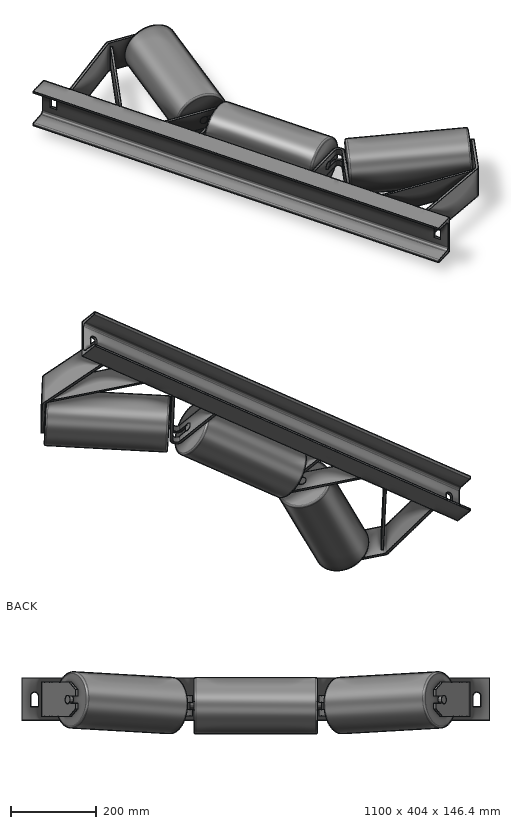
import cadquery as cq
import math


channel_length = 1100.0
channel_height = 100.0
flange_width = 51.0
web_thickness = 7.0
flange_tip_thickness = 7.0
flange_root_thickness = 10.0
root_radius = 8.0
toe_radius = 3.0

mount_spacing = 1041.0
mount_width = 18.0
mount_bottom_z = -18.0
mount_top_z = 16.0

roller_length = 290.0
roller_diameter = 133.0
roller_edge_radius = 4.0
roller_gap = 3.0
trough_angle = 35.0
shaft_diameter = 20.0
middle_axis_y = 115.0
side_center_x = 316.0
side_center_y = 217.0
inner_shaft_z = -15.0
outer_shaft_z = -1.0

plate_thickness = 7.0
outer_bracket_height = 80.0
inner_bracket_height = 47.0
bend_radius = 12.0
outer_foot_x = 482.0
outer_bend_y = 217.0
outer_reach = 33.0
corner_along = 26.0
corner_across = 18.0
strut_foot_x = 339.0
strut_thickness = 5.0
strut_height = 58.0
strut_rise = 7.0
slot_width = 16.0
slot_height = 88.0
slot_overrun = 16.0

foot_y = -web_thickness / 2
shaft_length = roller_length + 2 * (roller_gap + plate_thickness)
plate_offset = (shaft_length - plate_thickness) / 2
tilt_angle = math.degrees(math.asin((outer_shaft_z - inner_shaft_z) / (2 * plate_offset)))
side_center_z = (outer_shaft_z + inner_shaft_z) / 2
axis_x = math.cos(math.radians(trough_angle))
axis_y = math.sin(math.radians(trough_angle))


def place_middle(body):
    """Move a body built along X about the origin onto the middle roller's axis."""
    return body.translate((0, middle_axis_y, inner_shaft_z))


def place_right(body):
    """Move a body built along X about the origin onto the right roller's axis."""
    tilted = body.rotate((0, 0, 0), (0, 1, 0), -tilt_angle)
    raised = tilted.rotate((0, 0, 0), (0, 0, 1), trough_angle)
    return raised.translate((side_center_x, side_center_y, side_center_z))


def place_left(body):
    """Mirror image, across X = 0, of the body in the right place."""
    return place_right(body).mirror("YZ")


placements = [place_left, place_middle, place_right]


def cylinder_along_x(diameter, length):
    upright = cq.Workplane("XY").circle(diameter / 2).extrude(length)
    return upright.translate((0, 0, -length / 2)).rotate((0, 0, 0), (0, 1, 0), -90)


def make_roller():
    body = cylinder_along_x(roller_diameter, roller_length).edges().fillet(roller_edge_radius)
    return body.cut(cylinder_along_x(shaft_diameter, roller_length))


def make_shaft():
    return cylinder_along_x(shaft_diameter, shaft_length)


def make_shaft_slot():
    """Space for a shaft and for the narrower slot that opens its seats to the plate ends."""
    tool_length = shaft_length + 2 * slot_overrun
    opening = cq.Workplane("XY").box(tool_length, slot_height, slot_width, centered=(True, False, True))
    return opening.union(cylinder_along_x(shaft_diameter, tool_length))


def make_mount_slot():
    """Space for one mounting slot in the web at X = 0."""
    radius = mount_width / 2
    shoulder_z = mount_top_z - radius
    return (
        cq.Workplane("XZ")
        .moveTo(-radius, mount_bottom_z)
        .lineTo(radius, mount_bottom_z)
        .lineTo(radius, shoulder_z)
        .threePointArc((0, mount_top_z), (-radius, shoulder_z))
        .close()
        .extrude(web_thickness)
    )


def make_channel():
    half_height = channel_height / 2
    tip_z = half_height - flange_tip_thickness
    root_z = half_height - flange_root_thickness
    profile = [
        (0, -half_height),
        (-flange_width, -half_height),
        (-flange_width, -tip_z),
        (-web_thickness, -root_z),
        (-web_thickness, root_z),
        (-flange_width, tip_z),
        (-flange_width, half_height),
        (0, half_height),
    ]
    channel = cq.Workplane("YZ").polyline(profile).close().extrude(channel_length / 2, both=True)
    for side in (-1, 1):
        root = cq.selectors.NearestToPointSelector((0, -web_thickness, side * root_z))
        channel = channel.edges(root).fillet(root_radius)
        toe = cq.selectors.NearestToPointSelector((0, -flange_width, side * tip_z))
        channel = channel.edges(toe).fillet(toe_radius)
    for side in (-1, 1):
        channel = channel.cut(make_mount_slot().translate((side * mount_spacing / 2, 0, 0)))
    return channel


def make_strip(start, bend, end, height):
    """Bent plate whose mid-line runs from start to end with one rounded bend."""
    half = plate_thickness / 2
    first = math.atan2(bend[1] - start[1], bend[0] - start[0])
    second = math.atan2(end[1] - bend[1], end[0] - bend[0])
    middle = (first + second) / 2
    miter = half / math.cos((second - first) / 2)

    def offset(point, angle, distance):
        return (point[0] - distance * math.sin(angle), point[1] + distance * math.cos(angle))

    left_bend = offset(bend, middle, miter)
    right_bend = offset(bend, middle, -miter)
    outline = [
        offset(start, first, half),
        left_bend,
        offset(end, second, half),
        offset(end, second, -half),
        right_bend,
        offset(start, first, -half),
    ]
    strip = cq.Workplane("XY").polyline(outline).close().extrude(height / 2, both=True)
    turn_side = 1 if second > first else -1
    for corner, side in ((left_bend, 1), (right_bend, -1)):
        radius = bend_radius - side * turn_side * half
        nearest = cq.selectors.NearestToPointSelector((corner[0], corner[1], 0))
        strip = strip.edges(nearest).fillet(radius)
    return strip


def make_inner_bracket():
    """Right inner bracket: an upright leg and a leg square to the right roller's axis."""
    upright_x = plate_offset
    seat_x = side_center_x - plate_offset * axis_x
    seat_y = side_center_y - plate_offset * axis_y
    slope = axis_x / axis_y
    foot_x = seat_x + (seat_y - foot_y) / slope
    peak_y = foot_y + (foot_x - upright_x) * slope
    strip = make_strip((upright_x, foot_y), (upright_x, peak_y), (foot_x, foot_y), inner_bracket_height)
    return strip.translate((0, 0, inner_shaft_z))


def make_outer_bracket():
    """Right outer bracket: a leaning leg bent over so that it is square to the roller's axis."""
    seat_x = side_center_x + plate_offset * axis_x
    seat_y = side_center_y + plate_offset * axis_y
    bend = (seat_x + (seat_y - outer_bend_y) * axis_y / axis_x, outer_bend_y)
    end = (seat_x - outer_reach * axis_y, seat_y + outer_reach * axis_x)
    bracket = make_strip((outer_foot_x, foot_y), bend, end, outer_bracket_height)

    half_height = outer_bracket_height / 2
    for side in (-1, 1):
        corner = (
            cq.Workplane("YZ")
            .polyline(
                [
                    (0, side * half_height),
                    (-corner_along, side * half_height),
                    (0, side * (half_height - corner_across)),
                ]
            )
            .close()
            .extrude(plate_thickness, both=True)
            .rotate((0, 0, 0), (0, 0, 1), trough_angle)
            .translate((end[0], end[1], 0))
        )
        bracket = bracket.cut(corner)

    strut_top = (bend[0] - strut_rise * axis_y, bend[1] + strut_rise * axis_x)
    return bracket.union(make_strut(strut_top))


def make_strut(top):
    """Flat brace from the channel to the bend of the outer bracket."""
    half_width = strut_thickness / 2 * math.hypot(top[0] - strut_foot_x, top[1]) / top[1]
    outline = [
        (strut_foot_x - half_width, 0),
        (strut_foot_x + half_width, 0),
        top,
        (top[0] - 2 * half_width, top[1]),
    ]
    return cq.Workplane("XY").polyline(outline).close().extrude(strut_height / 2, both=True)


def make_frame():
    """Channel with its four welded brackets and two struts."""
    right_brackets = make_inner_bracket().union(make_outer_bracket())
    frame = make_channel()
    frame = frame.union(right_brackets).union(right_brackets.mirror("YZ"))
    for place in placements:
        frame = frame.cut(place(make_shaft_slot()))
    return frame


frame = make_frame()
rollers = [place(make_roller()) for place in placements]
shafts = [place(make_shaft()) for place in placements]

result = cq.Compound.makeCompound([frame.val()] + [body.val() for body in rollers + shafts])